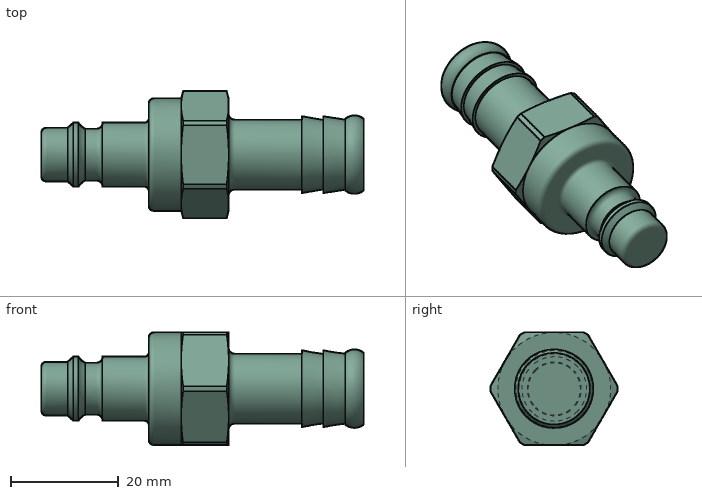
import cadquery as cq
import math

tip_radius = 10.0 / 2
neck_radius = 9.7 / 2
shank_radius = 12 / 2
flange_radius = 21 / 2
stem_radius = 13.1 / 2
barb_radius = 14.3 / 2
bead_radius = 14.65 / 2

rib_start = 4.9
rib_top_start = 6.0
rib_top_end = 6.9
neck_start = 8.15
neck_end = 10.3
shank_start = 11.4
flange_start = 20.0
hex_start = 26.05
hex_end = 34.85
bead_start = 56.5
barb_spans = ((48.5, 52.1), (52.45, bead_start))
barb_land = 0.2
length = 60.0

tip_fillet = 0.95
flange_fillet = 1.0
shank_fillet = 0.7
stem_fillet = 1.1
neck_fillet = shank_start - neck_end
rib_flank_middle_height = 0.4
bead_edge_radius = 6.65

hex_flats = 2 * flange_radius
hex_corners = 23.7
corner_chamfer_depth = 0.35

SQRT_HALF = math.sqrt(0.5)


def convex_fillet(profile, x, r, size):
    """Rise from the face at x onto the cylinder of radius r."""
    middle = (x + size * (1 - SQRT_HALF), r - size * (1 - SQRT_HALF))
    return profile.lineTo(x, r - size).threePointArc(middle, (x + size, r))


def rising_fillet(profile, x, r, size):
    """Leave the cylinder of radius r and rise into the face at x."""
    middle = (x - size * (1 - SQRT_HALF), r + size * (1 - SQRT_HALF))
    return profile.lineTo(x - size, r).threePointArc(middle, (x, r + size))


def falling_fillet(profile, x, r, size):
    """Drop along the face at x and run out onto the cylinder of radius r."""
    middle = (x + size * (1 - SQRT_HALF), r + size * (1 - SQRT_HALF))
    return profile.lineTo(x, r + size).threePointArc(middle, (x + size, r))


def turned_body():
    """Half profile from the tip to the hose bead, revolved about X."""
    profile = cq.Workplane("XY").moveTo(0, 0)
    profile = convex_fillet(profile, 0, tip_radius, tip_fillet)

    flank_middle = ((rib_top_end + neck_start) / 2, neck_radius + rib_flank_middle_height)
    profile = (
        profile.lineTo(rib_start, tip_radius)
        .lineTo(rib_top_start, shank_radius)
        .lineTo(rib_top_end, shank_radius)
        .threePointArc(flank_middle, (neck_start, neck_radius))
    )
    profile = rising_fillet(profile, shank_start, neck_radius, neck_fillet)

    profile = profile.lineTo(shank_start, shank_radius)
    profile = rising_fillet(profile, flange_start, shank_radius, shank_fillet)
    profile = convex_fillet(profile, flange_start, flange_radius, flange_fillet)
    profile = profile.lineTo(hex_end, flange_radius)

    profile = falling_fillet(profile, hex_end, stem_radius, stem_fillet)
    for start, end in barb_spans:
        profile = (
            profile.lineTo(start, stem_radius)
            .lineTo(start, barb_radius)
            .lineTo(start + barb_land, barb_radius)
            .lineTo(end, stem_radius)
        )

    bead_middle = (bead_start + length) / 2
    profile = (
        profile.lineTo(bead_start, bead_edge_radius)
        .threePointArc((bead_middle, bead_radius), (length, bead_edge_radius))
        .lineTo(length, 0)
        .close()
    )
    return profile.revolve(360, (0, 0, 0), (1, 0, 0))


def hexagon():
    """Hexagon with flats facing +Z and -Z, its corners rounded and its ends coned."""
    hex_length = hex_end - hex_start
    corner_radius = hex_corners / 2
    prism = (
        cq.Workplane("YZ", origin=(hex_start, 0, 0))
        .polygon(6, hex_flats / math.cos(math.pi / 6))
        .extrude(hex_length)
    )
    envelope = (
        cq.Workplane("XY")
        .moveTo(hex_start, 0)
        .lineTo(hex_start, flange_radius)
        .lineTo(hex_start + corner_chamfer_depth, corner_radius)
        .lineTo(hex_end - corner_chamfer_depth, corner_radius)
        .lineTo(hex_end, flange_radius)
        .lineTo(hex_end, 0)
        .close()
        .revolve(360, (0, 0, 0), (1, 0, 0))
    )
    return prism.intersect(envelope)


result = turned_body().union(hexagon())